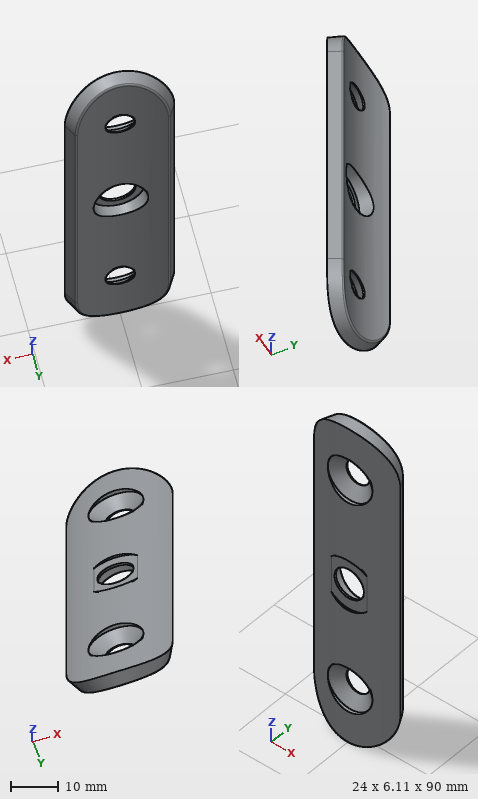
import cadquery as cq
import math

LENGTH = 90.0
WIDTH = 24.0
THICKNESS = 3.6
OUTER_RADIUS = 24.75
INNER_RADIUS = OUTER_RADIUS - THICKNESS
HALF_ANGLE = math.asin(WIDTH / 2 / OUTER_RADIUS)
END_HEIGHT = 12.0
REAR_EDGE_FILLET = 0.405

SCREW_OFFSET = 30.0
SCREW_DIAMETER = 6.5
HEAD_DIAMETER = 12.4
HEAD_RECESS = 0.9
SCREW_LAND = 0.2
CONE_DEPTH = THICKNESS - HEAD_RECESS - SCREW_LAND

CENTRE_DIAMETER = 8.2
SEAT_DIAMETER = 14.2
SEAT_DEPTH = 0.495
LIP_THICKNESS = 0.5
REAR_BORE_DIAMETER = 12.0

FRONT_Y = -OUTER_RADIUS
CLEARANCE = 1.8
THROUGH_DEPTH = THICKNESS + CLEARANCE


def rounded_outline(distance):
    """Plate outline projected from the tube axis onto the plane y = -distance."""
    straight_half = LENGTH / 2 - END_HEIGHT
    half_width = distance * math.tan(HALF_ANGLE)

    def upper_end(t):
        swing = HALF_ANGLE * math.cos(math.pi * t)
        return (distance * math.tan(swing), straight_half + END_HEIGHT * math.sin(math.pi * t))

    def lower_end(t):
        x, z = upper_end(t)
        return (-x, -z)

    return (
        cq.Workplane("XZ", origin=(0, -distance, 0))
        .moveTo(half_width, -straight_half)
        .lineTo(half_width, straight_half)
        .parametricCurve(upper_end, makeWire=False)
        .lineTo(-half_width, -straight_half)
        .parametricCurve(lower_end, makeWire=False)
        .wire()
        .val()
    )


def curved_plate():
    """Tube wall trimmed by a wedge whose sides all run square to the curve."""
    tube = (
        cq.Workplane("XY")
        .circle(OUTER_RADIUS)
        .circle(INNER_RADIUS)
        .extrude(LENGTH / 2 + CLEARANCE, both=True)
    )
    behind = rounded_outline(INNER_RADIUS * math.cos(HALF_ANGLE) - CLEARANCE)
    in_front = rounded_outline(OUTER_RADIUS + CLEARANCE)
    wedge = cq.Solid.makeLoft([behind, in_front], True)
    plate = tube.intersect(cq.Workplane(wedge))

    rear_edges = plate.faces("%CYLINDER").faces(">Y").edges()
    return rear_edges.fillet(REAR_EDGE_FILLET)


def bore(diameter, start, end, z):
    """Cylinder along Y between two depths measured from the front crest."""
    return (
        cq.Workplane("XZ", origin=(0, FRONT_Y + start, z))
        .circle(diameter / 2)
        .extrude(start - end)
    )


def screw_hole(z):
    """Recessed conical screw seat that narrows to a short straight land at the back."""
    cone = cq.Solid.makeCone(
        HEAD_DIAMETER / 2,
        SCREW_DIAMETER / 2,
        CONE_DEPTH,
        cq.Vector(0, FRONT_Y + HEAD_RECESS, z),
        cq.Vector(0, 1, 0),
    )
    through = bore(SCREW_DIAMETER, -CLEARANCE, THROUGH_DEPTH, z)
    recess = bore(HEAD_DIAMETER, -CLEARANCE, HEAD_RECESS, z)
    return through.union(recess).union(cq.Workplane(cone))


def centre_hole():
    """Flat front seat, through hole and rear bore that leave a thin lip."""
    seat = bore(SEAT_DIAMETER, -CLEARANCE, SEAT_DEPTH, 0)
    through = bore(CENTRE_DIAMETER, -CLEARANCE, THROUGH_DEPTH, 0)
    rear = bore(REAR_BORE_DIAMETER, SEAT_DEPTH + LIP_THICKNESS, THROUGH_DEPTH, 0)
    return seat.union(through).union(rear)


result = curved_plate().cut(centre_hole())
for side in (-1, 1):
    result = result.cut(screw_hole(side * SCREW_OFFSET))